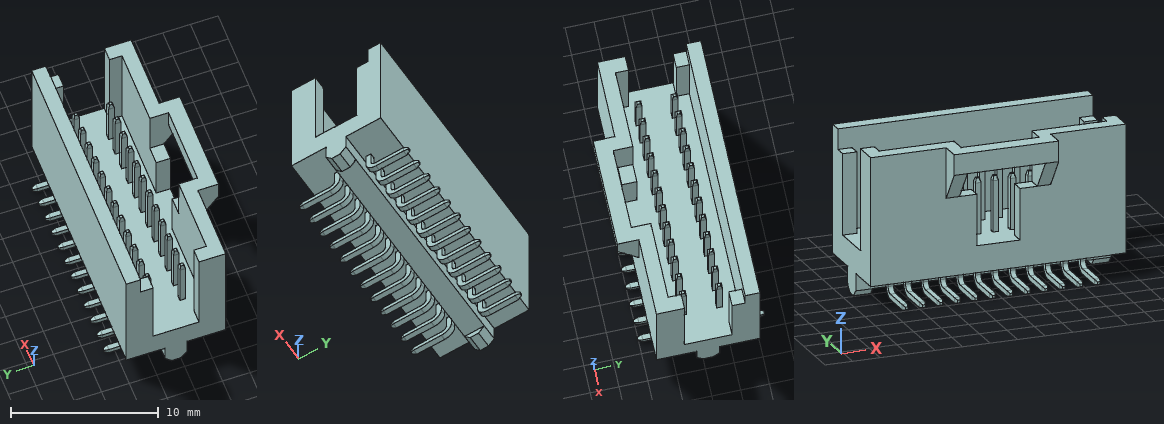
import cadquery as cq

LENGTH = 18.57
DEPTH = 7.2
HEIGHT = 9.3
FLOOR = 1.95
WALL = 1.04
FRONT_Y = -DEPTH / 2

POST_LENGTH = 1.02
POST_DEPTH = 0.91
END_OPENING = DEPTH - 2 * (WALL + POST_DEPTH)
REAR_POST_DROP = 1.49

BRIDGE_LENGTH = 7.6
BRIDGE_REACH = 1.5
BRIDGE_WALL = 1.19
BRIDGE_FACE = 1.49
WINDOW_LENGTH = 5.66
WINDOW_DROP = 3.64
KEYWAY_LENGTH = 3.14

RAIL_DEPTH = 1.6
RAIL_DROP = 1.25
PEG_LENGTH = 1.26
PEG_DROP = 1.76
PEG_TIP_DEPTH = 0.67

PINS_PER_ROW = 12
ROW_LENGTH = 13.96
PIN_PITCH = ROW_LENGTH / (PINS_PER_ROW - 1)
ROW_SPACING = 2.5
PIN_SIZE = 0.4
PIN_TIP_SIZE = 0.2
PIN_TIP_LENGTH = 0.32
PIN_RECESS = 3.35
PIN_TOP = HEIGHT - PIN_RECESS
PIN_BOTTOM = -1.8
PIN_REACH = 4.4
INNER_BEND_RADIUS = PIN_SIZE
BEND_RADIUS = INNER_BEND_RADIUS + PIN_SIZE / 2


def block(length, y_min, y_max, z_min, z_max):
    """Box centred on X = 0 that spans the given Y and Z ranges."""
    box = cq.Workplane("XY").box(length, y_max - y_min, z_max - z_min, centered=(True, False, False))
    return box.translate((0, y_min, z_min))


def make_housing():
    inner_y = DEPTH / 2 - WALL
    opening_y = END_OPENING / 2
    housing = block(LENGTH, -DEPTH / 2, DEPTH / 2, 0, HEIGHT)
    housing = housing.cut(block(LENGTH - 2 * POST_LENGTH, -inner_y, inner_y, FLOOR, HEIGHT))
    housing = housing.cut(block(LENGTH, -opening_y, opening_y, FLOOR, HEIGHT))
    return housing.cut(block(LENGTH, opening_y, inner_y, HEIGHT - REAR_POST_DROP, HEIGHT))


def add_bridge(housing):
    outer_y = FRONT_Y - BRIDGE_REACH
    bridge = (
        cq.Workplane("YZ")
        .polyline([
            (FRONT_Y, HEIGHT),
            (outer_y, HEIGHT),
            (outer_y, HEIGHT - BRIDGE_FACE),
            (FRONT_Y, HEIGHT - WINDOW_DROP),
        ])
        .close()
        .extrude(BRIDGE_LENGTH / 2, both=True)
    )
    inner_y = FRONT_Y + WALL
    recess = block(WINDOW_LENGTH, outer_y + BRIDGE_WALL, inner_y, HEIGHT - WINDOW_DROP, HEIGHT)
    window = block(WINDOW_LENGTH, outer_y, inner_y, HEIGHT - WINDOW_DROP, HEIGHT - BRIDGE_FACE)
    keyway = block(KEYWAY_LENGTH, FRONT_Y, inner_y, FLOOR, HEIGHT)
    return housing.union(bridge).cut(recess).cut(window).cut(keyway)


def add_rail(housing):
    rail = block(LENGTH, -RAIL_DEPTH / 2, RAIL_DEPTH / 2, -RAIL_DROP, 0)
    housing = housing.union(rail)
    for side in (-1, 1):
        peg = (
            cq.Workplane("YZ")
            .polyline([
                (-RAIL_DEPTH / 2, -RAIL_DROP),
                (RAIL_DEPTH / 2, -RAIL_DROP),
                (PEG_TIP_DEPTH / 2, -PEG_DROP),
                (-PEG_TIP_DEPTH / 2, -PEG_DROP),
            ])
            .close()
            .extrude(PEG_LENGTH / 2, both=True)
            .translate((side * (LENGTH - PEG_LENGTH) / 2, 0, 0))
        )
        housing = housing.union(peg)
    return housing


def make_tip():
    """Blunt square point rising from Z = 0."""
    return (
        cq.Workplane("XY")
        .rect(PIN_SIZE, PIN_SIZE)
        .workplane(offset=PIN_TIP_LENGTH)
        .rect(PIN_TIP_SIZE, PIN_TIP_SIZE)
        .loft(ruled=True)
    )


def make_pin():
    """Rear-row pin at X = 0, with its tail pointing toward +Y."""
    row_y = ROW_SPACING / 2
    shank_top = PIN_TOP - PIN_TIP_LENGTH
    tail_z = PIN_BOTTOM + PIN_SIZE / 2
    tail_end = PIN_REACH - PIN_TIP_LENGTH
    path = (
        cq.Workplane("YZ")
        .moveTo(row_y, shank_top)
        .lineTo(row_y, tail_z + BEND_RADIUS)
        .radiusArc((row_y + BEND_RADIUS, tail_z), -BEND_RADIUS)
        .lineTo(tail_end, tail_z)
    )
    wire = (
        cq.Workplane("XY", origin=(0, row_y, shank_top))
        .rect(PIN_SIZE, PIN_SIZE)
        .sweep(path)
    )
    top_tip = make_tip().translate((0, row_y, shank_top))
    tail_tip = make_tip().rotate((0, 0, 0), (1, 0, 0), -90).translate((0, tail_end, tail_z))
    return wire.union(top_tip).union(tail_tip)


def add_pins(housing):
    rear_pin = make_pin()
    front_pin = rear_pin.mirror("XZ")
    for index in range(PINS_PER_ROW):
        x = index * PIN_PITCH - ROW_LENGTH / 2
        for pin in (rear_pin, front_pin):
            housing = housing.union(pin.translate((x, 0, 0)))
    return housing


result = add_pins(add_rail(add_bridge(make_housing())))